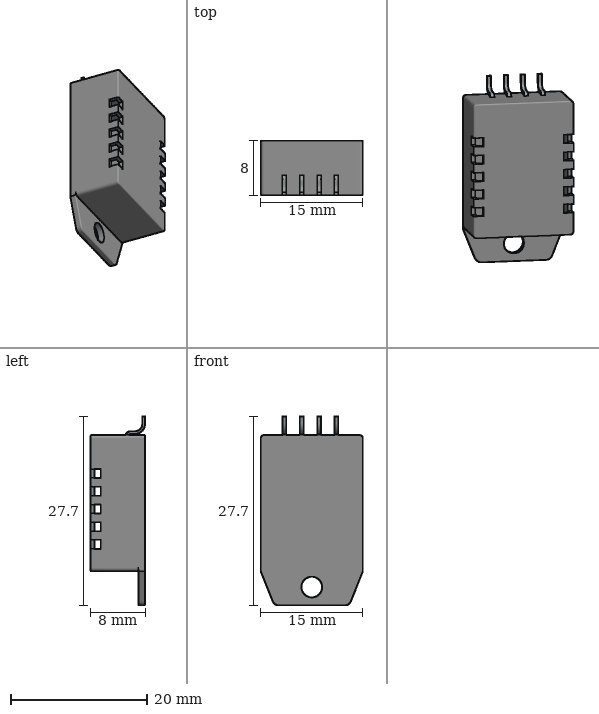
import cadquery as cq
import math


width = 15.0
depth = 8.0
total_height = 25.0
case_bottom = 5.0
wall = 0.6
corner_radius = 0.5
edge_radius = 0.2

tab_thickness = 1.0
tab_taper = 2.0
tab_corner_radius = 1.0
hole_diameter = 3.0
hole_height = 2.7

slot_count = 5
slot_height = 1.3
slot_pitch = 2 * slot_height
slot_reach = 1.5
top_to_first_slot = 5.0

pin_count = 4
pin_pitch = 2.54
pin_row_offset = -0.2
pin_width = 0.6
pin_thickness = 0.43
pin_rise = 2.7
pin_front_radius = 1.05
pin_root_radius = 0.93
pin_step_height = 0.56
pin_step_end = 2.05

tolerance = 0.01


def extrude_back(outline, length):
    """Extrude an XZ-plane outline from the front face toward +Y."""
    return outline.extrude(-length)


def box_between(x_range, y_range, z_range):
    """Axis-aligned box between the given (low, high) pairs."""
    size = [high - low for low, high in (x_range, y_range, z_range)]
    corner = (x_range[0], y_range[0], z_range[0])
    return cq.Workplane("XY").box(*size, centered=False).translate(corner)


def make_case():
    """Full-depth block with rounded corners."""
    half = width / 2
    block = box_between((-half, half), (0, depth), (case_bottom, total_height))
    return block.edges("|Y").fillet(corner_radius)


def make_plate():
    """Front plate whose lower end tapers to form the mounting tab."""
    half = width / 2
    outline = (
        cq.Workplane("XZ")
        .moveTo(-half, total_height)
        .lineTo(-half, case_bottom)
        .lineTo(-half + tab_taper, 0)
        .lineTo(half - tab_taper, 0)
        .lineTo(half, case_bottom)
        .lineTo(half, total_height)
        .close()
    )
    plate = extrude_back(outline, tab_thickness)
    plate = plate.edges("|Y and <Z").fillet(tab_corner_radius)
    return plate.edges("|Y and >Z").fillet(corner_radius)


def is_tab_back_edge(edge):
    """True for the edges around the back face of the tab, below the case."""
    box = edge.BoundingBox()
    on_back = abs(box.ymin - tab_thickness) < tolerance and abs(box.ymax - tab_thickness) < tolerance
    below_case = edge.Center().z < case_bottom - tolerance
    return on_back and below_case


def make_shell():
    """Case and tab joined, with softened edges and an enclosed cavity."""
    shell = make_case().union(make_plate())
    shell = shell.edges().filter(is_tab_back_edge).fillet(edge_radius)
    shell = shell.faces("<Y").edges().fillet(edge_radius)
    shell = shell.faces(">Y").edges().fillet(edge_radius)
    inner_half = width / 2 - wall
    cavity = box_between(
        (-inner_half, inner_half),
        (wall, depth - wall),
        (case_bottom + wall, total_height - wall),
    )
    return shell.cut(cavity)


def make_mounting_hole():
    """Cutter for the round hole through the tab."""
    circle = cq.Workplane("XZ").center(0, hole_height).circle(hole_diameter / 2)
    return extrude_back(circle, tab_thickness)


def cut_slots(body):
    """Open the rows of slots at both back corners."""
    half = width / 2
    for row in range(slot_count):
        top = total_height - top_to_first_slot - row * slot_pitch
        for x_range in ((-half, -half + slot_reach), (half - slot_reach, half)):
            body = body.cut(box_between(x_range, (depth - slot_reach, depth), (top - slot_height, top)))
    return body


def add_square_teeth(body):
    """Keep the back corners square on the teeth between neighbouring slots."""
    half = width / 2
    for row in range(slot_count - 1):
        top = total_height - top_to_first_slot - slot_height - row * slot_pitch
        z_range = (top - (slot_pitch - slot_height), top)
        for x_range in ((-half, -half + wall), (half - wall, half)):
            body = body.union(box_between(x_range, (depth - wall, depth), z_range))
    return body


def make_pin(x_center):
    """S-bent pin: out of the top wall, forward along it, then straight up."""
    diagonal = math.sqrt(0.5)
    front_outer = pin_front_radius + pin_thickness
    root_inner = pin_root_radius - pin_thickness
    step_top = total_height + pin_step_height
    step_bottom = step_top - pin_thickness
    front_center = (front_outer, step_top + pin_front_radius)
    root_center = (pin_step_end, step_top - pin_root_radius)
    tip = total_height + pin_rise

    def front_arc_middle(radius):
        return (front_center[0] - radius * diagonal, front_center[1] - radius * diagonal)

    def root_arc_middle(radius):
        return (root_center[0] + radius * diagonal, root_center[1] + radius * diagonal)

    profile = (
        cq.Workplane("YZ")
        .moveTo(0, tip)
        .lineTo(0, front_center[1])
        .threePointArc(front_arc_middle(front_outer), (front_center[0], step_bottom))
        .lineTo(root_center[0], step_bottom)
        .threePointArc(root_arc_middle(root_inner), (root_center[0] + root_inner, root_center[1]))
        .lineTo(root_center[0] + pin_root_radius, root_center[1])
        .threePointArc(root_arc_middle(pin_root_radius), (root_center[0], step_top))
        .lineTo(front_center[0], step_top)
        .threePointArc(front_arc_middle(pin_front_radius), (pin_thickness, front_center[1]))
        .lineTo(pin_thickness, tip)
        .close()
    )
    return profile.extrude(pin_width).translate((x_center - pin_width / 2, 0, 0))


housing = make_shell().cut(make_mounting_hole())
result = add_square_teeth(cut_slots(housing))
first_pin_x = pin_row_offset - pin_pitch * (pin_count - 1) / 2
for index in range(pin_count):
    result = result.union(make_pin(first_pin_x + index * pin_pitch))